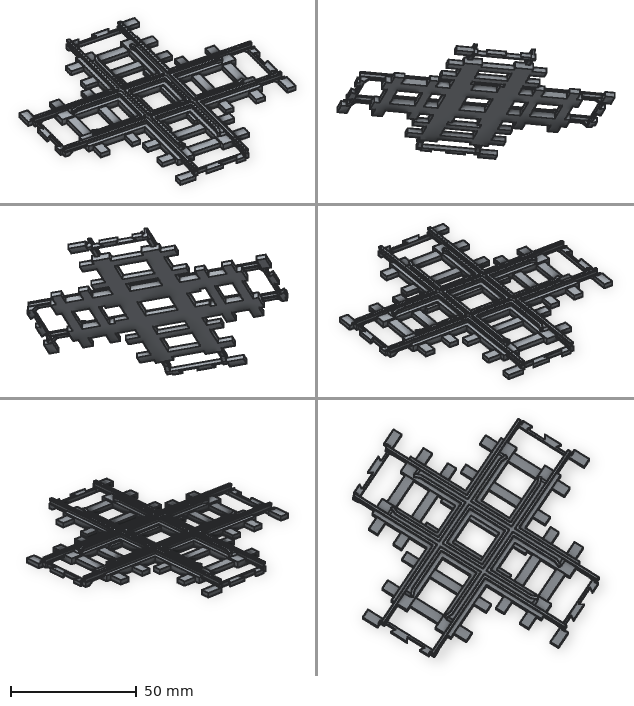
import cadquery as cq
import math


TOP_Z = 4.4
HEAD_HEIGHT = 0.57
HEAD_BOTTOM_Z = TOP_Z - HEAD_HEIGHT
FLOOR_Z = 3.3
BASE_Z = 2.6
FOOT_TOP_Z = 2.3
FOOT_BOTTOM_Z = 1.8
SLEEPER_Z = 2.0
JOINT_BOTTOM_Z = 0.26
TAB_Z = 2.6

FLANGEWAY_CENTER = 10.4
FLANGEWAY_WIDTH = 1.6
HEAD_WIDTH = 1.2
WEB_WIDTH = 0.85
FOOT_WIDTH = 1.8
BASE_WIDTH = 7.4
RAIL_OFFSET = (FLANGEWAY_WIDTH + HEAD_WIDTH) / 2
RAIL = FLANGEWAY_CENTER + RAIL_OFFSET
CHECK = FLANGEWAY_CENTER - RAIL_OFFSET

SPAN = 104.0
RAIL_END = 50.0
BASE_END = 40.0
FLARE_START = 31.9
FLARE_LENGTH = 2.8
FLARE_ANGLE = 22.0
RAMP_START = 33.7
RAMP_END = 34.8
RAMP_INNER_SIDE = 8.6

SLEEPER_LENGTH = 39.9
SLEEPER_HALF = SLEEPER_LENGTH / 2
OUTER_SLEEPER = (33.7, 37.9)
X_INNER_SLEEPER = (22.4, 26.3)
Y_INNER_SLEEPER = (19.7, 23.4)
Y_CENTER_SLEEPER = (5.2, 8.9)

END_SLEEPER_WIDTH = 3.8
BEAM_WIDTH = 0.9
DOVETAIL_LENGTH = 1.9
DOVETAIL_TAPER = 1.1
DOVETAIL_TIP = (-7.4, 0.4)
HALF_DOVETAIL_TIP = 6.5
JOINT_CLEARANCE = 1.09
GUSSET_RUN = 1.9
TAB_WIDTH = 0.36
TAB_RANGE = (49.3, 50.9)
CONNECTOR_START = SPAN / 2 - END_SLEEPER_WIDTH
BEAM_END = CONNECTOR_START + BEAM_WIDTH
DOVETAIL_END = BEAM_END + DOVETAIL_LENGTH


def block(x_range, y_range, z_range):
    """Axis-aligned box between three pairs of limits."""
    (x0, x1), (y0, y1), (z0, z1) = x_range, y_range, z_range
    return cq.Workplane("XY", origin=(x0, y0, z0)).box(x1 - x0, y1 - y0, z1 - z0, centered=False)


def joint_plate(points):
    """Flat polygon as thick as the end connectors."""
    plane = cq.Workplane("XY", origin=(0, 0, JOINT_BOTTOM_Z))
    return plane.polyline(points).close().extrude(SLEEPER_Z - JOINT_BOTTOM_Z)


def side_plate(points, y_outer, depth):
    """Polygon of (x, z) points reaching from y_outer toward -Y."""
    return cq.Workplane("XZ", origin=(0, y_outer, 0)).polyline(points).close().extrude(depth)


def turned(body, angle):
    return body.rotate((0, 0, 0), (0, 0, 1), angle)


def rail(points, foot=False):
    """Rail with mitred corners along (x, y) points; without a foot its web starts inside the base."""
    half_profile = [
        (WEB_WIDTH / 2, HEAD_BOTTOM_Z), (HEAD_WIDTH / 2, HEAD_BOTTOM_Z), (HEAD_WIDTH / 2, TOP_Z),
    ]
    if foot:
        half_profile = [
            (FOOT_WIDTH / 2, FOOT_BOTTOM_Z), (FOOT_WIDTH / 2, FOOT_TOP_Z), (WEB_WIDTH / 2, FOOT_TOP_Z),
        ] + half_profile
    else:
        half_profile = [(WEB_WIDTH / 2, FOOT_TOP_Z)] + half_profile
    profile = half_profile + [(-offset, z) for offset, z in reversed(half_profile)]

    (x0, y0), (x1, y1) = points[:2]
    run_x, run_y = x1 - x0, y1 - y0
    start_plane = cq.Plane(origin=(x0, y0, 0), xDir=(-run_y, run_x, 0), normal=(run_x, run_y, 0))
    path = cq.Workplane("XY").polyline(points)
    return cq.Workplane(start_plane).polyline(profile).close().sweep(path, transition="right")


def running_rail():
    """L-shaped rail around the +X +Y corner."""
    return rail([(RAIL_END, RAIL), (RAIL, RAIL), (RAIL, RAIL_END)], foot=True)


def check_rail():
    """U-shaped rail inside the +X arm, with both ends flared toward the track axis."""
    flare = math.radians(FLARE_ANGLE)
    tip_x = FLARE_START + FLARE_LENGTH * math.cos(flare)
    tip_y = CHECK - FLARE_LENGTH * math.sin(flare)
    return rail([
        (tip_x, tip_y), (FLARE_START, CHECK), (RAIL, CHECK),
        (RAIL, -CHECK), (FLARE_START, -CHECK), (tip_x, -tip_y),
    ])


def center_rail():
    """Closed square rail in the middle of the crossing."""
    return rail([
        (CHECK, 0), (CHECK, CHECK), (-CHECK, CHECK), (-CHECK, -CHECK), (CHECK, -CHECK), (CHECK, 0),
    ])


def base():
    """Strip under the +Y rail of the X track, with its raised flangeway floor and end ramps."""
    half_width = BASE_WIDTH / 2
    sides = (FLANGEWAY_CENTER - half_width, FLANGEWAY_CENTER + half_width)
    strip = block((-BASE_END, BASE_END), sides, (0, BASE_Z))
    floor_profile = [(-RAMP_END, BASE_Z), (-RAMP_START, FLOOR_Z), (RAMP_START, FLOOR_Z), (RAMP_END, BASE_Z)]
    return strip.union(side_plate(floor_profile, RAIL, RAIL - RAMP_INNER_SIDE))


def sleeper(limits):
    """Sleeper across the +X arm."""
    return block(limits, (-SLEEPER_HALF, SLEEPER_HALF), (0, SLEEPER_Z))


def rail_end_support(y):
    """Block under a rail end that slopes up into the rail foot, and the tab beside it."""
    slope_top = CONNECTOR_START - GUSSET_RUN
    gusset = side_plate([
        (RAIL_END, JOINT_BOTTOM_Z), (CONNECTOR_START, JOINT_BOTTOM_Z),
        (slope_top, FOOT_BOTTOM_Z), (slope_top, FOOT_TOP_Z), (RAIL_END, FOOT_TOP_Z),
    ], y + FOOT_WIDTH / 2, FOOT_WIDTH)
    tab_side = y - JOINT_CLEARANCE
    return gusset.union(block(TAB_RANGE, (tab_side - TAB_WIDTH, tab_side), (JOINT_BOTTOM_Z, TAB_Z)))


def connector():
    """Coupling at the end of the +X arm: half sleeper, beam, dovetails and rail end supports."""
    joint_heights = (JOINT_BOTTOM_Z, SLEEPER_Z)
    sleeper_inner = -RAIL - JOINT_CLEARANCE
    half_sleeper = block((CONNECTOR_START, SPAN / 2), (-SLEEPER_HALF, sleeper_inner), (0, SLEEPER_Z))
    link = block((CONNECTOR_START, RAIL_END), (sleeper_inner, -RAIL), joint_heights)
    beam = block((CONNECTOR_START, BEAM_END), (-RAIL, RAIL), joint_heights)

    tip_low, tip_high = DOVETAIL_TIP
    dovetail = joint_plate([
        (BEAM_END, tip_low + DOVETAIL_TAPER), (DOVETAIL_END, tip_low),
        (DOVETAIL_END, tip_high), (BEAM_END, tip_high - DOVETAIL_TAPER),
    ])
    half_dovetail_side = RAIL - JOINT_CLEARANCE
    half_dovetail = joint_plate([
        (BEAM_END, HALF_DOVETAIL_TIP + DOVETAIL_TAPER), (DOVETAIL_END, HALF_DOVETAIL_TIP),
        (DOVETAIL_END, half_dovetail_side), (RAIL_END, half_dovetail_side),
        (RAIL_END, RAIL), (BEAM_END, RAIL),
    ])

    coupling = half_sleeper.union(link).union(beam).union(dovetail).union(half_dovetail)
    for y in (-RAIL, RAIL):
        coupling = coupling.union(rail_end_support(y))
    return coupling


quarter = base().union(running_rail()).union(check_rail()).union(sleeper(OUTER_SLEEPER)).union(connector())
result = center_rail()
for angle in (0, 90, 180, 270):
    result = result.union(turned(quarter, angle))

for angle in (0, 180):
    result = result.union(turned(sleeper(X_INNER_SLEEPER), angle))
    for limits in (Y_INNER_SLEEPER, Y_CENTER_SLEEPER):
        result = result.union(turned(sleeper(limits), angle + 90))